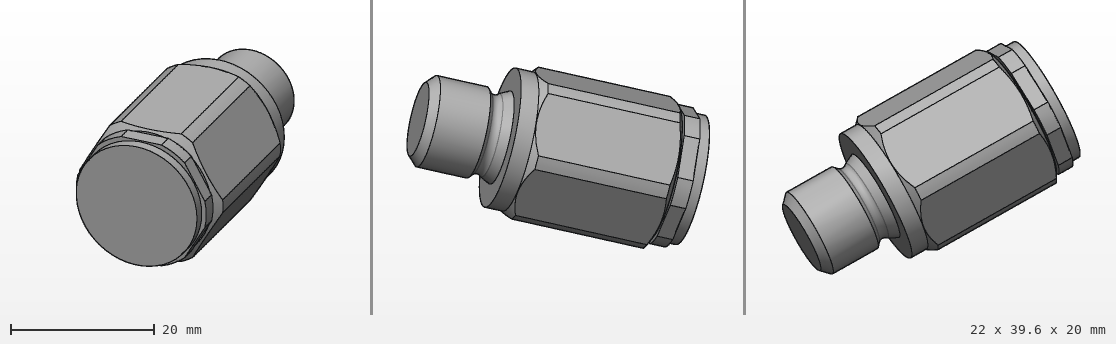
import cadquery as cq
import math

cap_end = 1.6
ring_end = 3.85
hex_start = 4.1
hex_end = 25.1
flange_end = 27.68
cone_end = 29.1
neck_end = 30.55
thread_start = 31.1
total_length = 39.65

cap_diameter = 18.5
ring_diameter = 19.9
gap_diameter = 17.6
hex_corner_diameter = 22.0
flange_diameter = 19.9
cone_diameter = 13.32
neck_edge_diameter = 11.9
neck_diameter = 11.3
thread_diameter = 13.1

hex_across_flats = 20.0
ring_across_flats = 18.9
hex_front_diameter = 19.27
hex_front_chamfer_angle = 30.0
thread_tip_chamfer = 1.25


def cylinder(diameter, start, end):
    """Cylinder on the Y axis between two stations."""
    plane = cq.Workplane("XZ", origin=(0, start, 0))
    return plane.circle(diameter / 2).extrude(start - end)


def hex_prism(across_flats, start, end):
    """Hexagonal prism on the Y axis with corners on +X and -X."""
    corner_diameter = across_flats / math.cos(math.radians(30))
    plane = cq.Workplane("XZ", origin=(0, start, 0))
    return plane.polygon(6, corner_diameter).extrude(start - end)


def revolve_about_y(profile):
    return profile.close().revolve(360, (0, 0, 0), (0, 1, 0))


def hex_body():
    """Main hexagon, its corners turned round and chamfered at both ends."""
    corner_radius = hex_corner_diameter / 2
    front_radius = hex_front_diameter / 2
    back_radius = flange_diameter / 2
    front_chamfer = (corner_radius - front_radius) * math.tan(math.radians(hex_front_chamfer_angle))
    back_chamfer = corner_radius - back_radius
    envelope = revolve_about_y(
        cq.Workplane("XY")
        .moveTo(0, hex_start)
        .lineTo(front_radius, hex_start)
        .lineTo(corner_radius, hex_start + front_chamfer)
        .lineTo(corner_radius, hex_end - back_chamfer)
        .lineTo(back_radius, hex_end)
        .lineTo(0, hex_end)
    )
    return hex_prism(hex_across_flats, hex_start, hex_end).intersect(envelope)


def lock_ring():
    """Thin hexagonal ring with rounded corners."""
    envelope = cylinder(ring_diameter, cap_end, ring_end)
    return hex_prism(ring_across_flats, cap_end, ring_end).intersect(envelope)


def threaded_stud():
    """Flange, cone, rounded neck and chamfered stud."""
    thread_radius = thread_diameter / 2
    return revolve_about_y(
        cq.Workplane("XY")
        .moveTo(0, hex_end)
        .lineTo(flange_diameter / 2, hex_end)
        .lineTo(flange_diameter / 2, flange_end)
        .lineTo(cone_diameter / 2, flange_end)
        .lineTo(neck_edge_diameter / 2, cone_end)
        .threePointArc(
            (neck_diameter / 2, (cone_end + neck_end) / 2),
            (neck_edge_diameter / 2, neck_end),
        )
        .lineTo(thread_radius, thread_start)
        .lineTo(thread_radius, total_length - thread_tip_chamfer)
        .lineTo(thread_radius - thread_tip_chamfer, total_length)
        .lineTo(0, total_length)
    )


cap = cylinder(cap_diameter, 0, cap_end)
gap = cylinder(gap_diameter, ring_end, hex_start)

result = cap.union(lock_ring()).union(gap).union(hex_body()).union(threaded_stud())